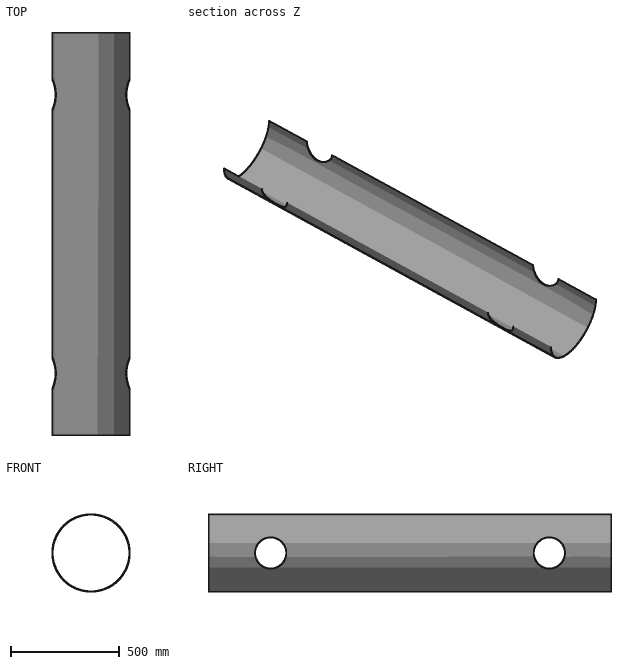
import cadquery as cq

tube_length = 1850.0
outer_diameter = 357.0
wall_thickness = 3.0

hole_diameter = 142.0
hole_end_distance = 285.0


def make_tube():
    outer_radius = outer_diameter / 2
    return (
        cq.Workplane("XZ")
        .circle(outer_radius)
        .circle(outer_radius - wall_thickness)
        .extrude(tube_length)
        .translate((0, tube_length / 2, 0))
    )


def make_cross_holes():
    hole_offset = tube_length / 2 - hole_end_distance
    return (
        cq.Workplane("YZ")
        .pushPoints([(-hole_offset, 0), (hole_offset, 0)])
        .circle(hole_diameter / 2)
        .extrude(outer_diameter, both=True)
    )


result = make_tube().cut(make_cross_holes())